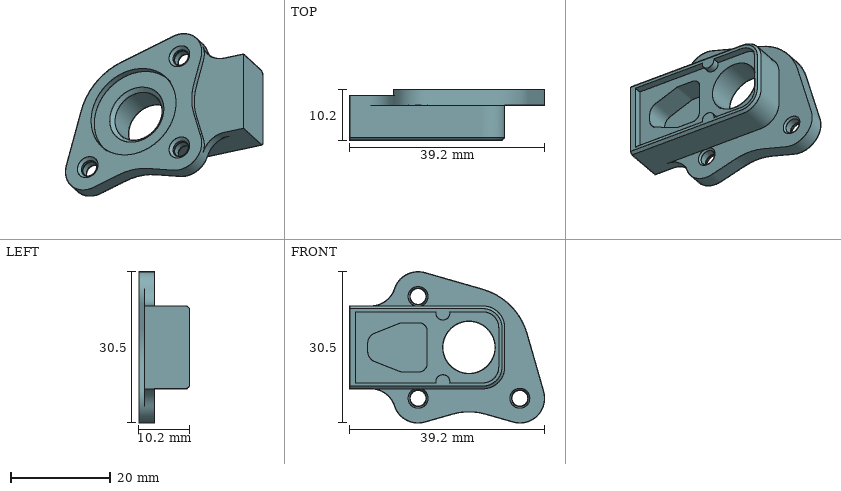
import cadquery as cq
import math

screw_offset = 10.245
lobe_radius = 5.0
flange_thickness = 3.2
edge_slope = math.radians(16)
waist_radius = 12.0
shoulder_tangent = 2.75
screw_hole_dia = 3.2
screw_chamfer = 0.4
screw_relief_dia = 3.4
screw_relief_start = 2.1
screw_rear_chamfer = 0.6

box_left = -24.0
box_right = 7.2
box_height = 16.7
box_front = -7.04
box_back = 2.0
box_corner_radius = 4.4
rim_chamfer = 0.55
blend_radius = 5.0

bore_dia = 10.5
seat_dia = 19.0
seat_depth = 1.5
bore_rear_chamfer = 0.8
wall = 1.2
recess_depth = 1.6
pin_radius = 1.4
pin_x = -bore_dia / 2
pin_z = 6.9
pocket_left = -20.4
pocket_right = -8.4
pocket_knee_x = -13.7
pocket_half_height = 4.95
pocket_nose_half_height = 2.3
pocket_fillet = 1.7
pocket_nose_fillet = 2.3

box_half_height = box_height / 2
recess_floor = box_front + recess_depth
seat_floor = flange_thickness - seat_depth


def workplane(y):
    """XZ sketch plane at the given Y; positive extrusion goes towards +Y."""
    return cq.Workplane(cq.Plane(origin=(0, y, 0), xDir=(1, 0, 0), normal=(0, -1, 0)))


def extrude(sketch, depth):
    return sketch.extrude(-depth)


def flange():
    """Plate with rounded lobes, symmetric about the x = z diagonal."""
    sin_s = math.sin(edge_slope)
    cos_s = math.cos(edge_slope)
    s = screw_offset
    r = lobe_radius

    waist_z = waist_radius * sin_s
    lobe_out = s + r * cos_s
    lobe_in = s - r * sin_s
    waist_x = -(lobe_out - (lobe_in - waist_z) * math.tan(edge_slope))
    waist_mid = waist_x + waist_radius * (1 - cos_s)
    lobe_tip = s + r / math.sqrt(2)
    top_start_x = -s + r * sin_s
    shoulder_z = lobe_out - (shoulder_tangent - top_start_x) * math.tan(edge_slope)
    shoulder_radius = (shoulder_z - shoulder_tangent) / (cos_s - sin_s)
    shoulder_center = shoulder_tangent - shoulder_radius * sin_s
    shoulder_mid = shoulder_center + shoulder_radius / math.sqrt(2)

    outline = (
        workplane(0)
        .moveTo(waist_x, -waist_z)
        .threePointArc((waist_mid, 0), (waist_x, waist_z))
        .lineTo(-lobe_out, lobe_in)
        .threePointArc((-lobe_tip, lobe_tip), (top_start_x, lobe_out))
        .lineTo(shoulder_tangent, shoulder_z)
        .threePointArc((shoulder_mid, shoulder_mid), (shoulder_z, shoulder_tangent))
        .lineTo(lobe_out, top_start_x)
        .threePointArc((lobe_tip, -lobe_tip), (lobe_in, -lobe_out))
        .lineTo(waist_z, waist_x)
        .threePointArc((0, waist_mid), (-waist_z, waist_x))
        .lineTo(-lobe_in, -lobe_out)
        .threePointArc((-lobe_tip, -lobe_tip), (-lobe_out, -lobe_in))
        .close()
    )
    return extrude(outline, flange_thickness)


def lobe_blend(side):
    """Concave blend between a box side and a left lobe (side = +1 top, -1 bottom)."""
    center_z = box_half_height + blend_radius
    rise = center_z - screw_offset
    reach = math.sqrt((lobe_radius + blend_radius) ** 2 - rise**2)
    center_x = -screw_offset - reach
    share = lobe_radius / (lobe_radius + blend_radius)
    touch_x = -screw_offset - reach * share
    touch_z = screw_offset + rise * share
    mid_angle = (math.atan2(touch_z - center_z, touch_x - center_x) - math.pi / 2) / 2
    mid_x = center_x + blend_radius * math.cos(mid_angle)
    mid_z = center_z + blend_radius * math.sin(mid_angle)
    outline = (
        workplane(0)
        .moveTo(center_x, side * box_half_height)
        .threePointArc((mid_x, side * mid_z), (touch_x, side * touch_z))
        .lineTo(-screw_offset, side * screw_offset)
        .lineTo(-screw_offset, 0)
        .lineTo(center_x, 0)
        .close()
    )
    return extrude(outline, box_back)


def round_ended_block(left, right, half_height, corner_radius, front, depth):
    """Block along Y whose two right-hand edges are rounded."""
    outline = (
        workplane(front)
        .moveTo((left + right) / 2, 0)
        .rect(right - left, 2 * half_height)
    )
    return extrude(outline, depth).edges("|Y and >X").fillet(corner_radius)


def box():
    body = round_ended_block(
        box_left, box_right, box_half_height, box_corner_radius, box_front, box_back - box_front
    )
    return body.faces("<Y").edges("not <X").chamfer(rim_chamfer)


def recess():
    """Shallow front recess, leaving two half-round pins standing at its sides."""
    cut = round_ended_block(
        box_left + wall,
        box_right - wall,
        box_half_height - wall,
        box_corner_radius - wall,
        box_front,
        recess_depth,
    )
    pins = workplane(box_front).pushPoints([(pin_x, pin_z), (pin_x, -pin_z)]).circle(pin_radius)
    return cut.cut(extrude(pins, recess_depth))


def pocket():
    """Blind tapered pocket reaching from the recess floor to the flange front plane."""
    outline = (
        workplane(recess_floor)
        .moveTo(pocket_left, -pocket_nose_half_height)
        .lineTo(pocket_left, pocket_nose_half_height)
        .lineTo(pocket_knee_x, pocket_half_height)
        .lineTo(pocket_right, pocket_half_height)
        .lineTo(pocket_right, -pocket_half_height)
        .lineTo(pocket_knee_x, -pocket_half_height)
        .close()
    )
    solid = extrude(outline, -recess_floor)
    solid = solid.edges("|Y and <X").fillet(pocket_nose_fillet)
    knee_margin = pocket_fillet / 2
    knees = cq.selectors.BoxSelector(
        (pocket_knee_x - knee_margin, box_front, -box_height),
        (pocket_knee_x + knee_margin, flange_thickness, box_height),
    )
    solid = solid.edges("|Y").edges(knees).fillet(pocket_fillet)
    return solid.edges("|Y and >X").fillet(pocket_fillet)


def cylinder(x, z, dia, start, end):
    return extrude(workplane(start).center(x, z).circle(dia / 2), end - start)


def cone(x, z, start_dia, end_dia, start, end):
    return cq.Workplane(
        cq.Solid.makeCone(
            start_dia / 2, end_dia / 2, end - start, cq.Vector(x, start, z), cq.Vector(0, 1, 0)
        )
    )


def bore():
    """Through bore, chamfered where it opens into the round seat at the back."""
    mouth_dia = bore_dia + 2 * bore_rear_chamfer
    hole = cylinder(0, 0, bore_dia, box_front, flange_thickness)
    mouth = cone(0, 0, bore_dia, mouth_dia, seat_floor - bore_rear_chamfer, seat_floor)
    seat = cylinder(0, 0, seat_dia, seat_floor, flange_thickness)
    return hole.union(mouth).union(seat)


def screw_hole(x, z):
    """Through hole, chamfered at both ends and slightly wider towards the back."""
    front_dia = screw_hole_dia + 2 * screw_chamfer
    rear_dia = screw_relief_dia + 2 * screw_rear_chamfer
    rear_start = flange_thickness - screw_rear_chamfer
    hole = cylinder(x, z, screw_hole_dia, 0, screw_relief_start)
    relief = cylinder(x, z, screw_relief_dia, screw_relief_start, flange_thickness)
    front_mouth = cone(x, z, front_dia, screw_hole_dia, 0, screw_chamfer)
    rear_mouth = cone(x, z, screw_relief_dia, rear_dia, rear_start, flange_thickness)
    return hole.union(relief).union(front_mouth).union(rear_mouth)


result = flange()
for side in (1, -1):
    result = result.union(lobe_blend(side))
for x_sign, z_sign in ((-1, 1), (-1, -1), (1, -1)):
    result = result.cut(screw_hole(x_sign * screw_offset, z_sign * screw_offset))
result = result.union(box()).cut(recess()).cut(pocket()).cut(bore())